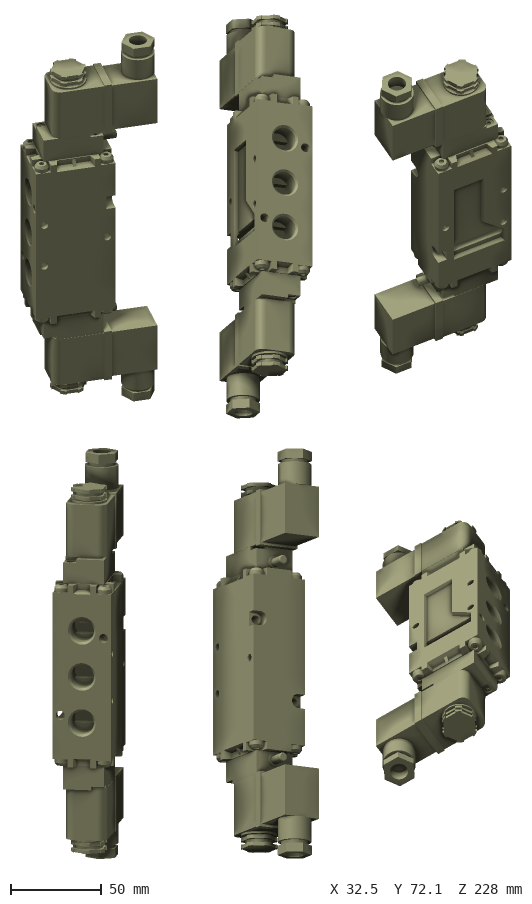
import cadquery as cq
import math


HALF_LENGTH = 114.0
BODY_WIDTH = 32.5
BODY_DEPTH = 45.4
BODY_HEIGHT = 74.8
BODY_TOP = BODY_HEIGHT / 2
BODY_FRONT = -BODY_DEPTH / 2
BODY_BACK = BODY_DEPTH / 2
BODY_LEFT = -BODY_WIDTH / 2

PORT_DIAMETER = 15.5
PORT_CHAMFER = 1.1
PORT_PITCH = 26.0
PORT_DEPTH = 11.5
GALLERY_HEIGHT = 6.0
GALLERY_DEPTH = 4.5
GALLERY_SHIFT = 1.0

FRONT_HOLE_DIAMETER = 5.0
FRONT_HOLE_X = 12.0
FRONT_HOLE_Z = 22.0
HEAD_SLOT_WIDTH = 8.0
HEAD_SLOT_DEPTH = 5.2

SIDE_HOLE_DIAMETER = 4.3
SIDE_HOLE_Y = 18.0
SIDE_HOLE_Z = 13.2

LABEL_BACK = 12.8
LABEL_STEP = -5.7
LABEL_FRONT = -18.5
LABEL_TOP = 28.7
LABEL_BOTTOM = -28.5
LABEL_STEP_TOP = -7.0
LABEL_STEP_BOTTOM = -19.1
LABEL_DEPTH = 2.3
LABEL_SHRINK = 1.0
GROOVE_DIAMETER = 4.8
GROOVE_Z = -21.9

CAP_HEIGHT = 14.0
CAP_TOP = BODY_TOP + CAP_HEIGHT
CORNER_SIZE = 8.5
CORNER_DEPTH = 4.3
SCREW_DIAMETER = 8.0
SCREW_RIM = 2.3
SCREW_CONE = 1.5
SCREW_TOP_DIAMETER = 5.7
SOCKET_DIAMETER = 3.0
SOCKET_DEPTH = 1.4
EDGE_POCKET_DROP = 4.8
EDGE_POCKET_SHRINK = 1.4
FRONT_POCKET_WIDTH = 9.5
FRONT_POCKET_DEPTH = 5.0
SIDE_POCKET_WIDTH = 21.7
SIDE_POCKET_DEPTH = 4.3
RIB_THICKNESS = 1.8
RIB_REACH = 2.7
RIB_DROP = 0.7

PILOT_WIDTH = 22.8
PILOT_DEPTH = 34.2
PILOT_HEIGHT = 13.7
PILOT_TOP = CAP_TOP + PILOT_HEIGHT
NOTCH_SIZE = 7.3
NOTCH_DEPTH = 2.0
PILOT_SCREW_DIAMETER = 5.0
PILOT_SCREW_SINK = 1.0
PILOT_SOCKET_DIAMETER = 2.0
PILOT_SOCKET_DEPTH = 1.0
LIP_WIDTH = 1.4
LIP_HEIGHT = 0.2
PIN_DIAMETER = 5.0
PIN_Z = 55.8
PIN_END = 27.3
PIN_CHAMFER = 0.5
COLLAR_DIAMETER = 7.5
COLLAR_THICKNESS = 1.0

COIL_WIDTH = 23.0
COIL_FRONT = -11.5
COIL_TOP = 94.5
COIL_CORNER = 4.8
FLANGE_WIDTH = 23.7
FLANGE_FRONT = 17.5
FLANGE_BACK = 21.9
FLANGE_BOTTOM = 64.0
FLANGE_TOP = 95.3
PLUG_WIDTH = 21.5
PLUG_BACK = 48.0
PLUG_BOTTOM = 65.5
PLUG_TOP = 94.0

COIL_NUT_DIAMETER = 20.0
COIL_NUT_NOTCH_FLOOR = 8.7
COIL_NUT_NOTCH_WIDTH = 6.4
COIL_NUT_DISC = 2.0
COIL_NUT_SEAT_TOP = 95.7
COIL_NUT_LOWER = 96.5
COIL_NUT_UPPER = 100.5
STEM_DIAMETER = 15.5

CABLE_Y = 39.9
SLEEVE_DIAMETER = 18.5
SLEEVE_TOP = 106.7
NECK_DIAMETER = 15.0
CABLE_NUT_FLATS = 16.5
CABLE_NUT_HEIGHT = 5.2
CABLE_HOLE_DIAMETER = 10.0


def block(x_range, y_range, z_range):
    """Box between the given limits."""
    (x0, x1), (y0, y1), (z0, z1) = x_range, y_range, z_range
    return cq.Workplane("XY").box(x1 - x0, y1 - y0, z1 - z0, centered=False).translate((x0, y0, z0))


def upright(diameter, z0, z1, x=0.0, y=0.0):
    """Cylinder along Z."""
    return cq.Workplane("XY", origin=(x, y, z0)).circle(diameter / 2).extrude(z1 - z0)


def along_y(diameter, y0, y1, x=0.0, z=0.0):
    """Cylinder along Y."""
    return cq.Workplane("XZ", origin=(x, y0, z)).circle(diameter / 2).extrude(y0 - y1)


def along_x(diameter, x0, x1, y=0.0, z=0.0):
    """Cylinder along X."""
    return cq.Workplane("YZ", origin=(x0, y, z)).circle(diameter / 2).extrude(x1 - x0)


def taper_angle(shrink, depth):
    """Draft angle that moves a wall in by `shrink` over `depth`."""
    return math.degrees(math.atan(shrink / depth))


def port(step):
    """Chamfered blind port on the front; `step` is -1, 0 or 1 along Z."""
    z = step * PORT_PITCH
    hole = along_y(PORT_DIAMETER - 2 * PORT_CHAMFER, BODY_FRONT, BODY_FRONT + PORT_DEPTH, z=z)
    mouth = (
        cq.Workplane("XZ", origin=(0, BODY_FRONT, z))
        .circle(PORT_DIAMETER / 2)
        .extrude(-PORT_CHAMFER, taper=45)
    )
    floor = BODY_FRONT + PORT_DEPTH
    slot_z = z - step * GALLERY_SHIFT
    gallery = along_y(PORT_DIAMETER - 2 * PORT_CHAMFER, floor, floor + GALLERY_DEPTH, z=z).intersect(
        block(
            (-PORT_DIAMETER, PORT_DIAMETER),
            (floor, floor + GALLERY_DEPTH),
            (slot_z - GALLERY_HEIGHT / 2, slot_z + GALLERY_HEIGHT / 2),
        )
    )
    return hole.union(mouth).union(gallery)


def front_mounting_hole(side):
    """Through hole along Y with a head slot at the back that runs out to one side."""
    x = side * FRONT_HOLE_X
    z = side * FRONT_HOLE_Z
    slot_start = BODY_BACK - HEAD_SLOT_DEPTH
    side_run = block(
        sorted((x, side * BODY_WIDTH)),
        (slot_start, BODY_BACK),
        (z - HEAD_SLOT_WIDTH / 2, z + HEAD_SLOT_WIDTH / 2),
    )
    return (
        along_y(FRONT_HOLE_DIAMETER, BODY_FRONT, BODY_BACK, x, z)
        .union(along_y(HEAD_SLOT_WIDTH, slot_start, BODY_BACK, x, z))
        .union(side_run)
    )


def label_recess():
    """Tapered recess on the left side, with a half-round groove across its wide end."""
    outline = [
        (LABEL_BACK, LABEL_TOP),
        (LABEL_STEP, LABEL_TOP),
        (LABEL_STEP, LABEL_STEP_TOP),
        (LABEL_FRONT, LABEL_STEP_BOTTOM),
        (LABEL_FRONT, LABEL_BOTTOM),
        (LABEL_BACK, LABEL_BOTTOM),
    ]
    recess = (
        cq.Workplane("YZ", origin=(BODY_LEFT, 0, 0))
        .polyline(outline)
        .close()
        .extrude(LABEL_DEPTH, taper=taper_angle(LABEL_SHRINK, LABEL_DEPTH))
    )
    groove = along_y(
        GROOVE_DIAMETER,
        LABEL_FRONT + LABEL_SHRINK,
        LABEL_BACK - LABEL_SHRINK,
        BODY_LEFT + LABEL_DEPTH,
        GROOVE_Z,
    )
    return recess.union(groove)


def make_valve_body():
    body = cq.Workplane("XY").box(BODY_WIDTH, BODY_DEPTH, BODY_HEIGHT)
    for step in (-1, 0, 1):
        body = body.cut(port(step))
    for side in (-1, 1):
        body = body.cut(front_mounting_hole(side))
    for y, z in ((-SIDE_HOLE_Y, SIDE_HOLE_Z), (-SIDE_HOLE_Y, -SIDE_HOLE_Z), (SIDE_HOLE_Y, 0)):
        body = body.cut(along_x(SIDE_HOLE_DIAMETER, BODY_LEFT, -BODY_LEFT, y, z))
    return body.cut(label_recess())


def cap_screw(x, y):
    """Screw head with a conical top and a socket."""
    seat = CAP_TOP - CORNER_DEPTH
    rim_top = seat + SCREW_RIM
    cone_top = rim_top + SCREW_CONE
    taper = taper_angle((SCREW_DIAMETER - SCREW_TOP_DIAMETER) / 2, SCREW_CONE)
    cone = (
        cq.Workplane("XY", origin=(x, y, rim_top)).circle(SCREW_DIAMETER / 2).extrude(SCREW_CONE, taper=taper)
    )
    return (
        upright(SCREW_DIAMETER, seat, rim_top, x, y)
        .union(cone)
        .cut(upright(SOCKET_DIAMETER, cone_top - SOCKET_DEPTH, cone_top, x, y))
    )


def edge_pocket(width, depth):
    """Tapered pocket in the top edge, opening at Y = 0 and running towards +Y."""
    return (
        cq.Workplane("XZ", origin=(0, 0, CAP_TOP))
        .rect(width, 2 * EDGE_POCKET_DROP)
        .extrude(-depth, taper=taper_angle(EDGE_POCKET_SHRINK, depth))
    )


def side_pocket():
    """Edge pocket on the left side, divided by a sloping rib."""
    pocket = edge_pocket(SIDE_POCKET_WIDTH, SIDE_POCKET_DEPTH)
    rib = (
        cq.Workplane("YZ", origin=(-RIB_THICKNESS / 2, 0, 0))
        .polyline(
            [
                (SIDE_POCKET_DEPTH, CAP_TOP - RIB_DROP),
                (SIDE_POCKET_DEPTH - RIB_REACH, CAP_TOP - EDGE_POCKET_DROP),
                (SIDE_POCKET_DEPTH, CAP_TOP - EDGE_POCKET_DROP),
            ]
        )
        .close()
        .extrude(RIB_THICKNESS)
    )
    return pocket.cut(rib).rotate((0, 0, 0), (0, 0, 1), -90).translate((BODY_LEFT, 0, 0))


def make_end_cap():
    cap = block((BODY_LEFT, -BODY_LEFT), (BODY_FRONT, BODY_BACK), (BODY_TOP, CAP_TOP))
    for side_x in (-1, 1):
        for side_y in (-1, 1):
            corner_x = side_x * BODY_WIDTH / 2
            corner_y = side_y * BODY_DEPTH / 2
            cap = cap.cut(
                block(
                    sorted((corner_x, corner_x - side_x * CORNER_SIZE)),
                    sorted((corner_y, corner_y - side_y * CORNER_SIZE)),
                    (CAP_TOP - CORNER_DEPTH, CAP_TOP),
                )
            )
            inset = CORNER_SIZE / 2
            cap = cap.union(cap_screw(corner_x - side_x * inset, corner_y - side_y * inset))
    cap = cap.cut(edge_pocket(FRONT_POCKET_WIDTH, FRONT_POCKET_DEPTH).translate((0, BODY_FRONT, 0)))
    left_pocket = side_pocket()
    return cap.cut(left_pocket).cut(left_pocket.mirror("YZ"))


def make_pilot_block():
    half_x = PILOT_WIDTH / 2
    half_y = PILOT_DEPTH / 2
    pilot = block((-half_x, half_x), (-half_y, half_y), (CAP_TOP, PILOT_TOP))
    recess = block(
        (LIP_WIDTH - half_x, half_x - LIP_WIDTH),
        (LIP_WIDTH - half_y, half_y - LIP_WIDTH),
        (PILOT_TOP - LIP_HEIGHT, PILOT_TOP),
    )
    pilot = pilot.cut(recess)

    floor = PILOT_TOP - NOTCH_DEPTH
    screw_top = floor - PILOT_SCREW_SINK
    for side in (-1, 1):
        notch = block(
            sorted((side * half_x, side * (half_x - NOTCH_SIZE))),
            sorted((side * half_y, side * (half_y - NOTCH_SIZE))),
            (floor, PILOT_TOP),
        )
        screw_x = side * (half_x - NOTCH_SIZE / 2)
        screw_y = side * (half_y - NOTCH_SIZE / 2)
        counterbore = upright(PILOT_SCREW_DIAMETER, screw_top, floor, screw_x, screw_y)
        socket = upright(PILOT_SOCKET_DIAMETER, screw_top - PILOT_SOCKET_DEPTH, screw_top, screw_x, screw_y)
        pilot = pilot.cut(notch).cut(counterbore).cut(socket)

    collar = along_y(COLLAR_DIAMETER, half_y, half_y + COLLAR_THICKNESS, z=PIN_Z)
    pin = along_y(PIN_DIAMETER, half_y, PIN_END, z=PIN_Z).faces(">Y").chamfer(PIN_CHAMFER)
    return pilot.union(collar).union(pin)


def notched_disc(z):
    """Disc with six flat-bottomed notches around its rim."""
    disc = upright(COIL_NUT_DIAMETER, z, z + COIL_NUT_DISC)
    notch = block(
        (COIL_NUT_NOTCH_FLOOR, COIL_NUT_DIAMETER),
        (-COIL_NUT_NOTCH_WIDTH / 2, COIL_NUT_NOTCH_WIDTH / 2),
        (z, z + COIL_NUT_DISC),
    )
    for turn in range(6):
        disc = disc.cut(notch.rotate((0, 0, 0), (0, 0, 1), 60 * turn))
    return disc


def coil_nut():
    return (
        upright(COIL_NUT_DIAMETER, COIL_TOP, COIL_NUT_SEAT_TOP)
        .union(upright(STEM_DIAMETER, COIL_NUT_SEAT_TOP, COIL_NUT_UPPER))
        .union(notched_disc(COIL_NUT_LOWER))
        .union(notched_disc(COIL_NUT_UPPER))
    )


def cable_outlet():
    """Round sleeve, neck and hexagonal cable nut with a blind hole."""
    nut_bottom = HALF_LENGTH - CABLE_NUT_HEIGHT
    across_corners = CABLE_NUT_FLATS / math.cos(math.pi / 6)
    nut = (
        cq.Workplane("XY", origin=(0, CABLE_Y, nut_bottom))
        .transformed(rotate=(0, 0, 90))
        .polygon(6, across_corners)
        .extrude(CABLE_NUT_HEIGHT)
    )
    return (
        upright(SLEEVE_DIAMETER, PLUG_TOP, SLEEVE_TOP, y=CABLE_Y)
        .union(upright(NECK_DIAMETER, SLEEVE_TOP, nut_bottom, y=CABLE_Y))
        .union(nut)
        .cut(upright(CABLE_HOLE_DIAMETER, SLEEVE_TOP, HALF_LENGTH, y=CABLE_Y))
    )


def make_solenoid():
    coil = (
        block((-COIL_WIDTH / 2, COIL_WIDTH / 2), (COIL_FRONT, FLANGE_FRONT), (PILOT_TOP, COIL_TOP))
        .edges("|Z and <Y")
        .fillet(COIL_CORNER)
    )
    flange = block(
        (-FLANGE_WIDTH / 2, FLANGE_WIDTH / 2),
        (FLANGE_FRONT, FLANGE_BACK),
        (FLANGE_BOTTOM, FLANGE_TOP),
    )
    plug = block(
        (-PLUG_WIDTH / 2, PLUG_WIDTH / 2),
        (FLANGE_BACK, PLUG_BACK),
        (PLUG_BOTTOM, PLUG_TOP),
    )
    return coil.union(flange).union(plug).union(coil_nut()).union(cable_outlet())


bodies = [make_valve_body()]
for end_part in (make_end_cap(), make_pilot_block(), make_solenoid()):
    for turn in (0, 180):
        bodies.append(end_part.rotate((0, 0, 0), (0, 1, 0), turn))

result = cq.Compound.makeCompound([body.solids().val() for body in bodies])